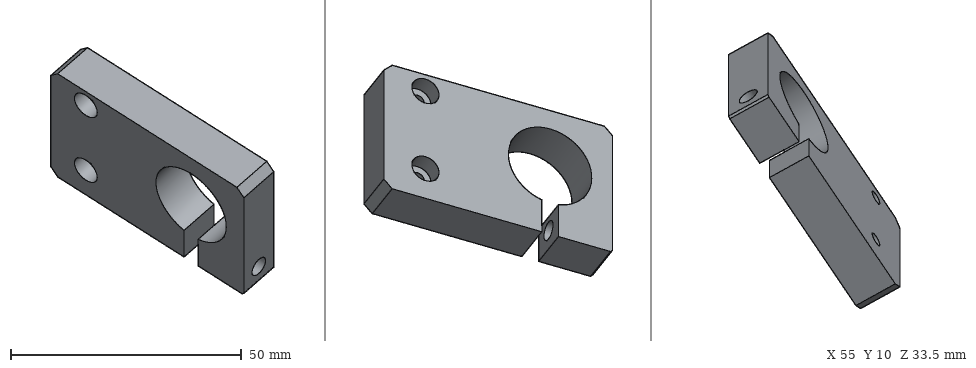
import cadquery as cq

length = 55.0
thickness = 10.0
height = 33.5
corner_chamfer = 2.0
small_corner_chamfer = 0.5

bore_diameter = 20.0
bore_x = 40.0
bore_z = 18.5
slit_width = 4.0

screw_hole_diameter = 4.5
screw_hole_z = 5.0

mount_x = 10.0
mount_lower_z = 8.05
mount_spacing = 21.0
mount_hole_diameter = 3.2
counterbore_diameter = 6.5
counterbore_depth = 4.0


def make_plate():
    """Rectangular plate with three large corner chamfers and one small one."""
    plate = cq.Workplane("XY").box(length, thickness, height, centered=False)
    plate = plate.edges("|Y and <X").chamfer(corner_chamfer)
    plate = plate.edges("|Y").edges(cq.selectors.NearestToPointSelector((length, thickness / 2, height)))
    plate = plate.chamfer(corner_chamfer)
    plate = plate.edges("|Y").edges(cq.selectors.NearestToPointSelector((length, thickness / 2, 0)))
    return plate.chamfer(small_corner_chamfer)


def cylinder_along_y(x, z, diameter, depth):
    """Round cutter entering the front face."""
    return cq.Workplane("XZ").center(x, z).circle(diameter / 2).extrude(-depth)


def make_slit():
    """Slot cutter from the bore centre down through the bottom face."""
    slit = cq.Workplane("XY").box(slit_width, thickness, bore_z, centered=(True, False, False))
    return slit.translate((bore_x, 0, 0))


def make_screw_hole():
    """Cross hole from the slit centre out through the right end."""
    hole = cq.Workplane("YZ", origin=(bore_x, thickness / 2, screw_hole_z))
    return hole.circle(screw_hole_diameter / 2).extrude(length - bore_x)


result = make_plate()
result = result.cut(cylinder_along_y(bore_x, bore_z, bore_diameter, thickness))
result = result.cut(make_slit())
result = result.cut(make_screw_hole())

for mount_z in (mount_lower_z, mount_lower_z + mount_spacing):
    result = result.cut(cylinder_along_y(mount_x, mount_z, mount_hole_diameter, thickness))
    result = result.cut(cylinder_along_y(mount_x, mount_z, counterbore_diameter, counterbore_depth))